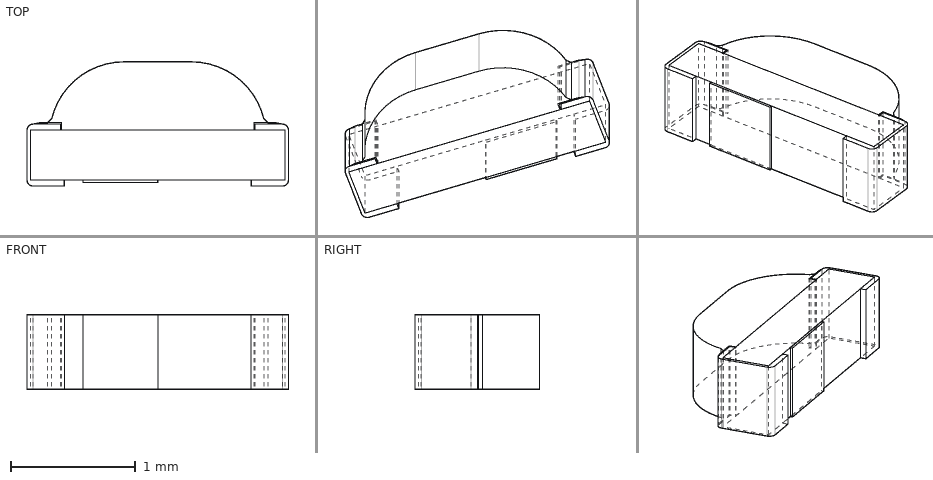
import cadquery as cq
import math

length = 2.1
depth = 1.0
height = 0.6

end_plating = 0.03
face_plating = 0.048
terminal_depth = 0.5
back_pad_length = 0.3
front_pad_length = 0.269
corner_radius = 0.05

board_length = length - 2 * end_plating
board_back = face_plating
board_front = terminal_depth - face_plating

film_thickness = 0.01
film_taper_length = 0.05
film_front = terminal_depth + film_thickness

lens_radius = 0.6
lens_flat_half = 0.269
lens_foot_flare = 0.034

mark_length = 0.6
mark_thickness = 0.02


def block(x_min, x_max, y_min, y_max):
    """Full-height block between the given X and Y limits."""
    return cq.Workplane("XY").box(
        x_max - x_min, y_max - y_min, height, centered=False
    ).translate((x_min, y_min, 0))


def make_board():
    return block(-board_length / 2, board_length / 2, board_back, board_front)


def make_left_terminal():
    """C-shaped terminal wrapped around the left end of the board."""
    left = -length / 2
    back_pad = block(left, left + back_pad_length, 0, terminal_depth)
    excess = block(left + front_pad_length, left + back_pad_length, board_front, terminal_depth)
    rounded = back_pad.edges("|Z and <X").fillet(corner_radius)
    return rounded.cut(excess).cut(make_board())


def make_left_film():
    """Film over the left front pad, tapering out at the rounded corner and bent over the inner edge."""
    left = -length / 2
    pad_end = left + front_pad_length
    film_end = pad_end + film_thickness
    taper_start = left + corner_radius
    return (
        cq.Workplane("XY")
        .moveTo(taper_start, terminal_depth)
        .lineTo(taper_start + film_taper_length, film_front)
        .lineTo(film_end, film_front)
        .lineTo(film_end, board_front)
        .lineTo(pad_end, board_front)
        .lineTo(pad_end, terminal_depth)
        .close()
        .extrude(height)
    )


def make_lens():
    """Domed lens with a flat front, 45-degree feet on the films and a base between them."""
    arc_y = depth - lens_radius
    dome_end_y = film_front + lens_foot_flare
    end_angle = math.asin((dome_end_y - arc_y) / lens_radius)
    base_half = length / 2 - front_pad_length - film_thickness

    def dome_point(angle):
        return (lens_flat_half + lens_radius * math.cos(angle), arc_y + lens_radius * math.sin(angle))

    def mirrored(point):
        return (-point[0], point[1])

    dome_middle = dome_point((end_angle + math.pi / 2) / 2)
    dome_end = dome_point(end_angle)
    foot_end = (dome_end[0] + lens_foot_flare, film_front)

    return (
        cq.Workplane("XY")
        .moveTo(-lens_flat_half, depth)
        .lineTo(lens_flat_half, depth)
        .threePointArc(dome_middle, dome_end)
        .lineTo(*foot_end)
        .lineTo(base_half, film_front)
        .lineTo(base_half, board_front)
        .lineTo(-base_half, board_front)
        .lineTo(-base_half, film_front)
        .lineTo(*mirrored(foot_end))
        .lineTo(*mirrored(dome_end))
        .threePointArc(mirrored(dome_middle), (-lens_flat_half, depth))
        .close()
        .extrude(height)
    )


def make_mark():
    return block(-mark_length, 0, board_back - mark_thickness, board_back)


def left_and_right(left_body):
    """The left body and its mirror image at the right end."""
    return [left_body.val(), left_body.mirror("YZ").val()]


board = make_board()
terminals = left_and_right(make_left_terminal())
films = left_and_right(make_left_film())
lens = make_lens()
mark = make_mark()

result = cq.Compound.makeCompound([board.val(), *terminals, *films, lens.val(), mark.val()])